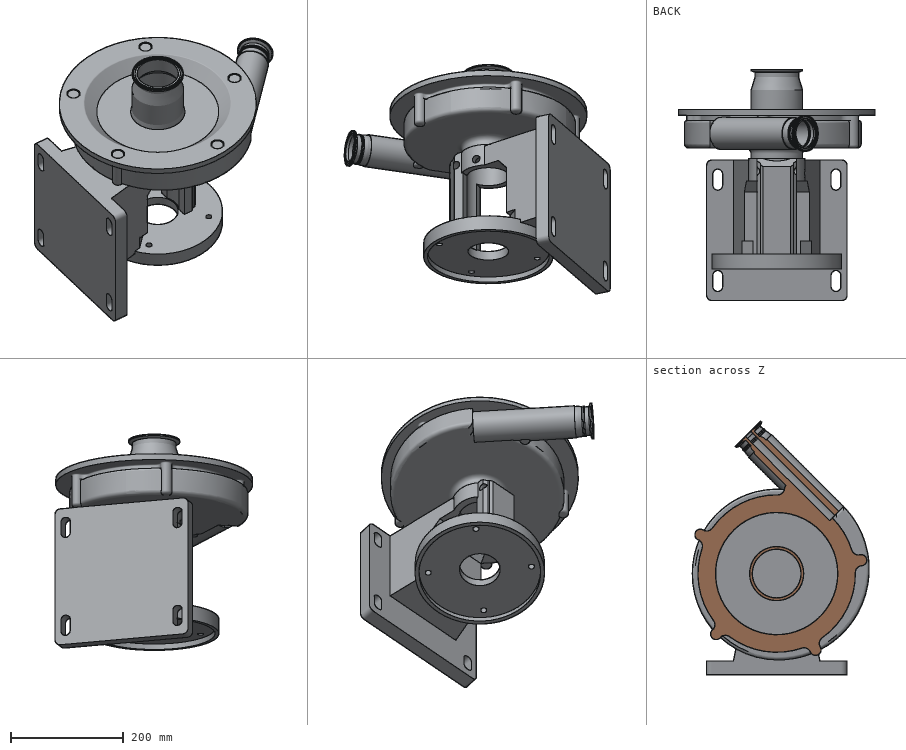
import math

import cadquery as cq


plate_size = 250.0
plate_thickness = 25.0
plate_back_y = -180.0
plate_front_y = plate_back_y + plate_thickness
plate_corner_radius = 10.0
slot_pitch_x = 210.0
slot_pitch_z = 180.0
slot_length = 37.0
slot_width = 17.0

motor_flange_radius = 115.0
motor_flange_bottom_z = 56.0
motor_flange_top_z = 83.0
motor_flange_bore_radius = 36.0
motor_pilot_radius = 108.0
motor_pilot_depth = 10.0
motor_bolt_pitch = 130.0
motor_bolt_hole_diameter = 10.5

hub_radius = 50.0
hub_bottom_z = 212.5
hub_top_z = 252.7
hub_bore_radius = 38.0
hub_bore_top_z = 250.0
pin_hole_diameter = 14.5
pin_hole_z = 226.0

arm_half_width_at_plate = 77.0
arm_half_width_at_hub = 47.5
arm_end_y = -math.sqrt(hub_radius**2 - arm_half_width_at_hub**2)
arm_top_z = plate_size
arm_bottom_z = 77.0
arm_inner_y = -63.6
arm_gusset_y = -46.0
arm_gusset_bottom_z = 193.0
arm_relief_y = -83.0
arm_relief_top_z = 106.0

wall_half_width = 35.0
wall_inner_y = 33.0
wall_outer_y = 64.5
wall_first_chamfer = 5.8
wall_second_chamfer = 4.8
wall_first_chamfer_y = 50.0
wall_second_chamfer_y = wall_outer_y - wall_second_chamfer
wall_bevel_start_y = 43.5
wall_bevel_bottom_z = 238.0
wall_hole_diameter = 14.5
wall_hole_y = 47.2
wall_hole_z = 230.0

casing_bottom_z = 271.0
casing_top_z = 320.0
casing_top_edge_radius = 5.0
casing_bottom_edge_radius = 8.0
lug_edge_radius = 5.0
casing_base_radius = 150.0
casing_floor_thickness = 10.0
volute_radius_lower_left = 151.3
volute_radius_bottom = 153.5
volute_radius_side = 164.3
neck_radius = 46.0
neck_fillet = 10.0

cover_radius = 175.0
cover_bottom_z = 329.3
cover_top_z = 340.0
ring_radius = 140.0
ring_fillet = 2.0
lug_radius = 10.0
lug_blend_radius = 12.0
bolt_count = 5
bolt_first_angle = 9.0
bolt_circle_radius = 152.0
bolt_angles = [bolt_first_angle + index * 360.0 / bolt_count for index in range(bolt_count)]
bolt_pocket_radius = 11.7
bolt_pocket_depth = 5.0
bolt_head_radius = 10.6
bolt_head_recess = 1.5
dish_floor_radius = 108.3
dish_rim_radius = 130.5
dish_edge_fillet = 3.0

inlet_top_z = 411.0
inlet_radius = 46.0
inlet_neck_radius = 39.0
inlet_flange_radius = 45.5
inlet_bore_radius = 36.5
inlet_wall = 3.0
inlet_bore_cone_top_z = 384.0
inlet_bore_floor_z = casing_bottom_z + casing_floor_thickness
inlet_cone_bottom_z = 374.0
inlet_cone_top_z = 396.5
inlet_foot_radius = 48.2
inlet_foot_top_z = 328.5
inlet_groove_radius = 41.75

outlet_angle = 135.0
outlet_radius = 28.8
outlet_axis_offset = 139.5
outlet_axis_z = 297.0
outlet_length = 211.7
outlet_flange_radius = 32.0
outlet_neck_radius = 25.7
outlet_bore_radius = 24.0
outlet_groove_radius = 28.25
outlet_pipe_end = 181.0
outlet_sleeve_radius = 27.6
outlet_sleeve_end = 187.0
outlet_sleeve_cone_radius = 26.4
outlet_sleeve_cone_end = 193.5
outlet_bead_radius = 27.0
outlet_bead_start = 196.0
outlet_bead_end = 198.5

rim_thickness = 2.8
rim_cone_length = 2.7
groove_half_width = 1.5
groove_depth = 1.5


def polar(radius, angle):
    """Point in the XY plane from radius and angle in degrees."""
    return radius * math.cos(math.radians(angle)), radius * math.sin(math.radians(angle))


def cylinder(radius, bottom_z, top_z):
    return cq.Workplane("XY").workplane(offset=bottom_z).circle(radius).extrude(top_z - bottom_z)


def revolved(points):
    """Solid of revolution about Z from (radius, z) points."""
    return cq.Workplane("XZ").polyline(points).close().revolve(360, (0, 0, 0), (0, 1, 0))


def at_each_bolt(shape):
    """Separate copies of a shape, given on the pump axis, at every cover bolt."""
    points = [polar(bolt_circle_radius, angle) for angle in bolt_angles]
    return [shape.translate((x, y, 0)) for x, y in points]


def joined(body, additions):
    """The body fused with every addition."""
    for addition in additions:
        body = body.union(addition)
    return body


def make_plate():
    plate = (
        cq.Workplane("XY")
        .box(plate_size, plate_thickness, plate_size)
        .edges("|Y").fillet(plate_corner_radius)
        .faces("<Y").workplane(centerOption="CenterOfBoundBox")
        .rarray(slot_pitch_x, slot_pitch_z, 2, 2)
        .slot2D(slot_length, slot_width, 90)
        .cutThruAll()
    )
    return plate.translate((0, plate_back_y + plate_thickness / 2, plate_size / 2))


def make_motor_flange():
    pilot_top_z = motor_flange_bottom_z + motor_pilot_depth
    return (
        cylinder(motor_flange_radius, motor_flange_bottom_z, motor_flange_top_z)
        .faces(">Z").workplane()
        .rarray(motor_bolt_pitch, motor_bolt_pitch, 2, 2)
        .hole(motor_bolt_hole_diameter)
        .faces(">Z").workplane()
        .hole(2 * motor_flange_bore_radius)
        .cut(cylinder(motor_pilot_radius, motor_flange_bottom_z, pilot_top_z))
    )


def make_arm():
    """Arm tapering from the plate to the hub, stepped back below the hub."""
    plan = (
        cq.Workplane("XY").workplane(offset=arm_bottom_z)
        .polyline([
            (-arm_half_width_at_plate, plate_front_y),
            (arm_half_width_at_plate, plate_front_y),
            (arm_half_width_at_hub, arm_end_y),
            (-arm_half_width_at_hub, arm_end_y),
        ])
        .close().extrude(arm_top_z - arm_bottom_z)
    )
    side = (
        cq.Workplane("YZ")
        .polyline([
            (plate_front_y, arm_bottom_z),
            (arm_inner_y, arm_bottom_z),
            (arm_inner_y, arm_gusset_bottom_z),
            (arm_gusset_y, hub_bottom_z),
            (arm_end_y, hub_bottom_z),
            (arm_end_y, arm_top_z),
            (plate_front_y, arm_top_z),
        ])
        .close().extrude(arm_half_width_at_plate, both=True)
    )
    arm = plan.intersect(side)

    taper = (arm_half_width_at_plate - arm_half_width_at_hub) / (arm_end_y - plate_front_y)
    relief_x = arm_half_width_at_plate - taper * (arm_relief_y - plate_front_y)
    relief_end_y = arm_relief_y + relief_x
    for side_sign in (-1, 1):
        relief = (
            cq.Workplane("XY").workplane(offset=motor_flange_top_z)
            .polyline([
                (side_sign * relief_x, arm_relief_y),
                (0, relief_end_y),
                (side_sign * relief_x, relief_end_y),
            ])
            .close().extrude(arm_relief_top_z - motor_flange_top_z)
        )
        arm = arm.cut(relief)
    return arm


def make_rear_wall():
    """Upright wall with stepped outer corners and a bevelled top."""
    middle_half_width = wall_half_width - wall_first_chamfer
    outer_half_width = middle_half_width - wall_second_chamfer
    right_side = [
        (wall_half_width, wall_inner_y),
        (wall_half_width, wall_first_chamfer_y),
        (middle_half_width, wall_first_chamfer_y + wall_first_chamfer),
        (middle_half_width, wall_second_chamfer_y),
        (outer_half_width, wall_outer_y),
    ]
    left_side = [(-x, y) for x, y in reversed(right_side)]
    wall = (
        cq.Workplane("XY").workplane(offset=motor_flange_top_z)
        .polyline(right_side + left_side)
        .close().extrude(hub_top_z - motor_flange_top_z)
    )
    bevel = (
        cq.Workplane("YZ")
        .polyline([
            (wall_bevel_start_y, hub_top_z),
            (wall_outer_y, wall_bevel_bottom_z),
            (wall_outer_y, hub_top_z),
        ])
        .close().extrude(wall_half_width, both=True)
    )
    return wall.cut(bevel)


def make_bracket():
    hub = cylinder(hub_radius, hub_bottom_z, hub_top_z)
    bore = cylinder(hub_bore_radius, motor_flange_top_z, hub_bore_top_z)
    wall_hole = (
        cq.Workplane("YZ").center(wall_hole_y, wall_hole_z)
        .circle(wall_hole_diameter / 2).extrude(wall_half_width, both=True)
    )
    pin_hole = (
        cq.Workplane("YZ").center(0, pin_hole_z)
        .circle(pin_hole_diameter / 2).extrude(-hub_radius)
    )
    return (
        hub.union(make_arm()).union(make_rear_wall())
        .cut(bore).cut(wall_hole).cut(pin_hole)
        .union(make_plate()).union(make_motor_flange())
    )


def make_casing():
    """Volute growing from the base radius at -X, round -Y and +X, to the outlet."""
    outlet_side = outlet_angle - 90.0
    volute_end_radius = outlet_axis_offset + outlet_radius
    volute = (
        cq.Workplane("XY").workplane(offset=casing_bottom_z)
        .moveTo(*polar(casing_base_radius, 180))
        .threePointArc(polar(volute_radius_lower_left, 225), polar(volute_radius_bottom, 270))
        .tangentArcPoint(polar(volute_radius_side, 360), relative=False)
        .tangentArcPoint(polar(volute_end_radius, outlet_side), relative=False)
        .lineTo(*polar(casing_base_radius, outlet_side))
        .threePointArc(
            polar(casing_base_radius, (outlet_side + 180) / 2),
            polar(casing_base_radius, 180),
        )
        .close().extrude(casing_top_z - casing_bottom_z)
        .faces(">Z").edges().fillet(casing_top_edge_radius)
        .faces("<Z").edges().fillet(casing_bottom_edge_radius)
    )
    neck_fillet_bottom_z = casing_bottom_z - neck_fillet
    fillet_middle = neck_fillet * (1 - math.sqrt(0.5))
    neck = (
        cq.Workplane("XZ")
        .moveTo(0, hub_top_z)
        .lineTo(neck_radius, hub_top_z)
        .lineTo(neck_radius, neck_fillet_bottom_z)
        .threePointArc(
            (neck_radius + fillet_middle, casing_bottom_z - fillet_middle),
            (neck_radius + neck_fillet, casing_bottom_z),
        )
        .lineTo(0, casing_bottom_z)
        .close().revolve(360, (0, 0, 0), (0, 1, 0))
    )
    lug = cylinder(lug_radius, casing_bottom_z, casing_top_z).faces("<Z").edges().fillet(lug_edge_radius)
    return joined(volute.union(neck), at_each_bolt(lug))


def make_spacer():
    """Ring under the cover disc, with a filleted lug around every bolt."""
    height = cover_bottom_z - casing_top_z
    lug_middle_radius = (ring_radius + bolt_circle_radius) / 2
    lug = (
        cq.Workplane("XY").workplane(offset=casing_top_z)
        .center(lug_middle_radius, 0)
        .slot2D(bolt_circle_radius - ring_radius + 2 * lug_radius, 2 * lug_radius)
        .extrude(height)
    )
    ring = cylinder(ring_radius, casing_top_z, cover_bottom_z)
    root_angle = math.degrees(math.asin(lug_radius / ring_radius))
    for bolt_angle in bolt_angles:
        ring = ring.union(lug.rotate((0, 0, 0), (0, 0, 1), bolt_angle))
        for angle in (bolt_angle - root_angle, bolt_angle + root_angle):
            x, y = polar(ring_radius, angle)
            root = cq.selectors.NearestToPointSelector((x, y, casing_top_z + height / 2))
            ring = ring.edges("|Z").edges(root).fillet(lug_blend_radius)
    return ring


def make_cover():
    """Cover disc with a conical dish, on a spacer ring with bolt lugs."""
    spacer = make_spacer()
    disc = cylinder(cover_radius, cover_bottom_z, cover_top_z)
    dish = revolved([
        (0, casing_top_z),
        (dish_floor_radius, casing_top_z),
        (dish_rim_radius, cover_top_z),
        (0, cover_top_z),
    ])
    pocket_floor_z = cover_top_z - bolt_pocket_depth
    pockets = at_each_bolt(cylinder(bolt_pocket_radius, pocket_floor_z, cover_top_z))
    heads = at_each_bolt(cylinder(bolt_head_radius, pocket_floor_z, cover_top_z - bolt_head_recess))
    disc_on_ring = spacer.union(disc)
    ring_outline = disc_on_ring.faces("<Z[1]").val().innerWires()[0]
    cover = (
        disc_on_ring.newObject(ring_outline.Edges()).fillet(ring_fillet)
        .cut(dish)
        .faces(">Z").edges(cq.selectors.RadiusNthSelector(0)).fillet(dish_edge_fillet)
    )
    for pocket in pockets:
        cover = cover.cut(pocket)
    return joined(cover, heads)


def groove(radius, face_z):
    """Gasket groove of a ferrule face, as a ring to cut away."""
    return cylinder(radius + groove_half_width, face_z - groove_depth, face_z).cut(
        cylinder(radius - groove_half_width, face_z - groove_depth, face_z)
    )


def make_inlet():
    rim_z = inlet_top_z - rim_thickness
    outside = revolved([
        (0, casing_top_z),
        (inlet_foot_radius, casing_top_z),
        (inlet_radius, inlet_foot_top_z),
        (inlet_radius, inlet_cone_bottom_z),
        (inlet_neck_radius, inlet_cone_top_z),
        (inlet_neck_radius, rim_z - rim_cone_length),
        (inlet_flange_radius, rim_z),
        (inlet_flange_radius, inlet_top_z),
        (0, inlet_top_z),
    ])
    return outside.cut(groove(inlet_groove_radius, inlet_top_z))


def make_inlet_bore():
    wide_radius = inlet_radius - inlet_wall
    return revolved([
        (0, inlet_bore_floor_z),
        (wide_radius, inlet_bore_floor_z),
        (wide_radius, inlet_cone_bottom_z),
        (inlet_bore_radius, inlet_bore_cone_top_z),
        (inlet_bore_radius, inlet_top_z),
        (0, inlet_top_z),
    ])


def place_outlet(shape):
    """Lay a Z-axis shape along the outlet axis, starting beside the pump axis."""
    start_x, start_y = polar(outlet_axis_offset, outlet_angle - 90.0)
    return (
        shape.rotate((0, 0, 0), (0, 1, 0), 90)
        .rotate((0, 0, 0), (0, 0, 1), outlet_angle)
        .translate((start_x, start_y, outlet_axis_z))
    )


def make_outlet():
    rim_start = outlet_length - rim_thickness
    outside = revolved([
        (0, 0),
        (outlet_radius, 0),
        (outlet_radius, outlet_pipe_end),
        (outlet_sleeve_radius, outlet_pipe_end),
        (outlet_sleeve_radius, outlet_sleeve_end),
        (outlet_sleeve_cone_radius, outlet_sleeve_cone_end),
        (outlet_neck_radius, outlet_sleeve_cone_end),
        (outlet_neck_radius, outlet_bead_start),
        (outlet_bead_radius, outlet_bead_start),
        (outlet_bead_radius, outlet_bead_end),
        (outlet_neck_radius, outlet_bead_end),
        (outlet_neck_radius, rim_start - rim_cone_length),
        (outlet_flange_radius, rim_start),
        (outlet_flange_radius, outlet_length),
        (0, outlet_length),
    ])
    return place_outlet(outside.cut(groove(outlet_groove_radius, outlet_length)))


def make_outlet_bore():
    return place_outlet(cylinder(outlet_bore_radius, 0, outlet_length))


pump = make_casing().union(make_cover()).union(make_inlet()).union(make_outlet())
pump = pump.cut(make_inlet_bore()).cut(make_outlet_bore())
result = make_bracket().union(pump)